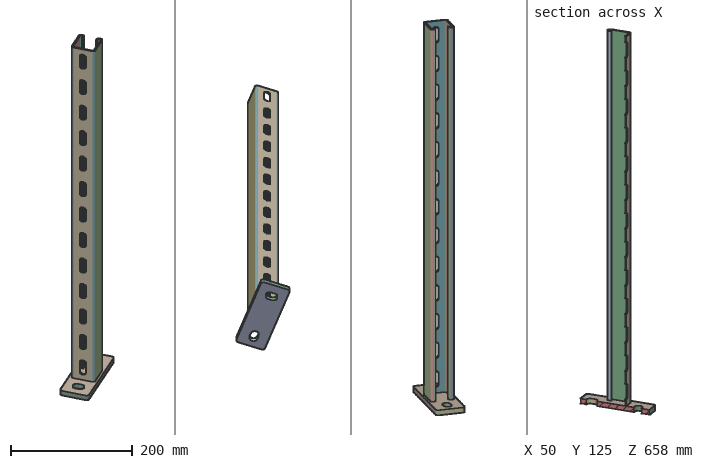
import cadquery as cq

plate_width = 50.0
plate_length = 2.5 * plate_width
plate_thickness = 9.0
plate_corner_radius = 4.5
mount_slot_length = 20.0
mount_slot_width = 14.0
lengthwise_slot_offset = 42.0
crosswise_slot_offset = 41.0

total_height = 658.0
channel_height = total_height - plate_thickness
channel_size = 41.0
sheet_thickness = 2.5
bend_radius = 4.0
inner_bend_radius = bend_radius - sheet_thickness
mouth_width = 22.0
lip_depth = 8.5

slot_count = 13
slot_pitch = 50.0
slot_length = 27.5
slot_width = 11.0


def make_plate():
    """Rounded plate with one mounting slot along Y and one along X."""
    plate = cq.Workplane("XY").box(
        plate_width, plate_length, plate_thickness, centered=(True, True, False)
    )
    plate = plate.edges("|Z").fillet(plate_corner_radius)
    lengthwise_slot = (
        cq.Workplane("XY")
        .center(0, lengthwise_slot_offset)
        .slot2D(mount_slot_length, mount_slot_width, 90)
        .extrude(plate_thickness)
    )
    crosswise_slot = (
        cq.Workplane("XY")
        .center(0, -crosswise_slot_offset)
        .slot2D(mount_slot_length, mount_slot_width)
        .extrude(plate_thickness)
    )
    return plate.cut(lengthwise_slot).cut(crosswise_slot)


def upright_block(width, length, center_y=0.0):
    """Rectangular block standing on the plate over the channel height."""
    return (
        cq.Workplane("XY", origin=(0, center_y, plate_thickness))
        .rect(width, length)
        .extrude(channel_height)
    )


def make_channel():
    """Rounded tube opened by a mouth, with rounded lips turned inwards along it."""
    inner_size = channel_size - 2 * sheet_thickness
    outside = upright_block(channel_size, channel_size).edges("|Z").fillet(bend_radius)
    inside = upright_block(inner_size, inner_size).edges("|Z").fillet(inner_bend_radius)
    front_width = (channel_size - mouth_width) / 2
    hollow_width = front_width - 2 * sheet_thickness
    mouth = upright_block(mouth_width, channel_size / 2, channel_size / 4)
    channel = outside.cut(inside).cut(mouth)

    for side in (-1, 1):
        lip_x = side * (channel_size - front_width) / 2
        lip_y = (channel_size - lip_depth) / 2
        blank = upright_block(front_width, lip_depth, lip_y).translate((lip_x, 0, 0))
        hook = blank.edges("|Z and >Y").fillet(bend_radius)
        hollow = upright_block(hollow_width, lip_depth, lip_y - sheet_thickness)
        hollow = hollow.edges("|Z and >Y").fillet(inner_bend_radius)
        hook = hook.cut(hollow.translate((lip_x, 0, 0)))
        channel = channel.cut(blank).union(hook)
    return channel


def make_web_slots():
    """Vertical slots through the web, evenly spaced about the middle of the channel."""
    middle_z = plate_thickness + channel_height / 2
    first_z = middle_z - (slot_count - 1) * slot_pitch / 2
    centers = [(0, first_z + i * slot_pitch) for i in range(slot_count)]
    return (
        cq.Workplane("XZ", origin=(0, -channel_size / 2 + sheet_thickness, 0))
        .pushPoints(centers)
        .slot2D(slot_length, slot_width, 90)
        .extrude(sheet_thickness)
    )


result = make_plate().union(make_channel().cut(make_web_slots()))